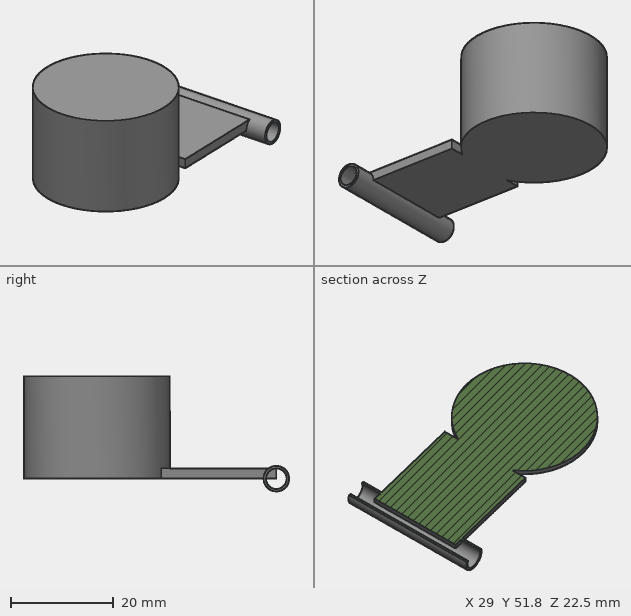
import cadquery as cq

total_length = 51.75
drum_diameter = 28.5
drum_height = 20.0
tube_length = 29.0
tube_outer_diameter = 5.0
tube_inner_diameter = 4.0
plate_width = 20.0
plate_length = 22.45
plate_thickness = 2.0

tube_y = total_length - drum_diameter / 2 - tube_outer_diameter / 2


def make_drum():
    return cq.Workplane("XY").circle(drum_diameter / 2).extrude(drum_height)


def make_plate():
    """Flat arm from the tube axis to the drum."""
    return (
        cq.Workplane("XY")
        .center(0, tube_y - plate_length / 2)
        .rect(plate_width, plate_length)
        .extrude(plate_thickness)
    )


def make_tube():
    """Hinge tube along X, open at both ends."""
    return (
        cq.Workplane("YZ", origin=(-tube_length / 2, 0, 0))
        .center(tube_y, 0)
        .circle(tube_outer_diameter / 2)
        .circle(tube_inner_diameter / 2)
        .extrude(tube_length)
    )


result = make_drum().union(make_plate()).union(make_tube())